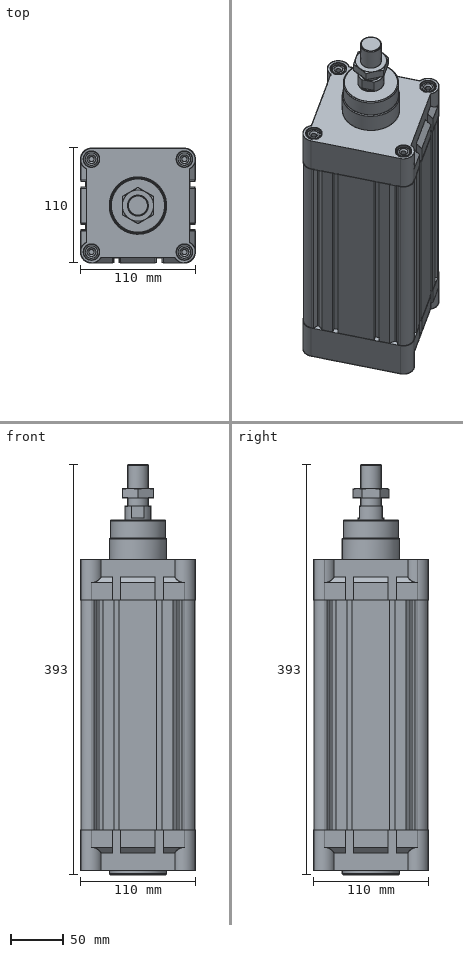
import cadquery as cq
import math


rear_spigot_height = 4.0
body_length = 298.0
cap_length = 39.0
shoulder_above_cap = 51.0
thread_length = 40.0
cap_bottom = rear_spigot_height
tube_bottom = cap_bottom + cap_length
cap_top = cap_bottom + body_length
tube_top = cap_top - cap_length
shoulder_level = cap_top + shoulder_above_cap
rod_top = shoulder_level + thread_length

cap_width = 110.0
half_width = cap_width / 2
post_radius = 10.5
post_offset = half_width - post_radius
recess_depth = 5.5
core_half = half_width - recess_depth
shelf_from_face = 22.2
cap_slot_width = 8.0
slot_offset = 20.5

screw_recess_diameter = 15.0
screw_recess_mouth_diameter = 15.8
screw_recess_depth = 3.0
screw_head_diameter = 12.0
screw_head_below_face = 1.0
socket_mouth_diameter = 8.38
socket_diameter = 4.92
socket_depth = 8.0

tube_inset = 0.4
tube_width = cap_width - 2 * tube_inset
tube_half = tube_width / 2
tube_slot_width = 5.0
tube_slot_depth = 4.6
groove_inner_edge = 33.5
groove_outer_edge = 42.0
groove_depth = 4.0
groove_outer_run = 2.6
groove_floor_inner = groove_inner_edge + groove_depth
groove_floor_outer = groove_outer_edge - groove_outer_run

lower_collar_diameter = 55.0
lower_collar_height = 20.5
upper_collar_diameter = 53.0
collar_height = 38.0
collar_chamfer = 1.0

rod_diameter = 25.0
thread_diameter = 20.0
thread_end_diameter = 18.38
flats_width = 22.0
flats_above_collar = 1.5
flats_bottom = cap_top + collar_height + flats_above_collar
rod_bottom = tube_top

nut_across_flats = 30.0
nut_height = 9.0
nut_chamfer_angle = 20.0
nut_above_shoulder = 8.0
nut_bottom = shoulder_level + nut_above_shoulder


def corner_points(offset):
    return [(x, y) for x in (-offset, offset) for y in (-offset, offset)]


def make_flank_pads():
    """Three raised pads along the -Y flank of the front cap, sloping back at 45 degrees above a shelf."""
    shelf = cap_top - shelf_from_face
    profile = [
        (-core_half, tube_top),
        (-half_width, tube_top),
        (-half_width, shelf),
        (-core_half, shelf + recess_depth),
    ]
    band = cq.Workplane("YZ").polyline(profile).close().extrude(post_offset, both=True)
    slots = (
        cq.Workplane()
        .workplane(offset=tube_top)
        .pushPoints([(x, -half_width) for x in (-slot_offset, slot_offset)])
        .rect(cap_slot_width, 2 * recess_depth)
        .extrude(cap_length)
    )
    return band.cut(slots)


def make_cap():
    """Front end cap: core, round corner posts, pads on three flanks and a plain +Y flank."""
    bottom = cq.Workplane().workplane(offset=tube_top)
    cap = bottom.rect(2 * core_half, 2 * core_half).extrude(cap_length)
    plain_flank = bottom.center(0, half_width / 2).rect(2 * post_offset, half_width).extrude(cap_length)
    cap = cap.union(plain_flank)
    pads = make_flank_pads()
    for angle in (0, 90, -90):
        cap = cap.union(pads.rotate((0, 0, 0), (0, 0, 1), angle))
    posts = bottom.pushPoints(corner_points(post_offset)).circle(post_radius).extrude(cap_length)
    return cap.union(posts)


def make_tube():
    """Square profile tube with two slots and two corner grooves along each side."""
    bottom = cq.Workplane().workplane(offset=tube_bottom)
    length = tube_top - tube_bottom
    tube = bottom.rect(tube_width, tube_width).extrude(length).edges("|Z").fillet(post_radius)
    slots = (
        bottom.pushPoints([(x, -tube_half) for x in (-slot_offset, slot_offset)])
        .rect(tube_slot_width, 2 * tube_slot_depth)
        .extrude(length)
    )
    groove_profile = [
        (groove_inner_edge, -tube_half),
        (groove_floor_inner, -tube_half + groove_depth),
        (groove_floor_outer, -tube_half + groove_depth),
        (groove_outer_edge, -tube_half),
    ]
    groove = bottom.polyline(groove_profile).close().extrude(length)
    cutter = slots.union(groove).union(groove.mirror("YZ"))
    for angle in (0, 90, 180, 270):
        tube = tube.cut(cutter.rotate((0, 0, 0), (0, 0, 1), angle))
    return tube


def screw_recess_cutter():
    """Ring recess around one screw head and the countersunk socket in it, turned about their axis."""
    mouth_radius = screw_recess_mouth_diameter / 2
    recess_radius = screw_recess_diameter / 2
    head_radius = screw_head_diameter / 2
    socket_mouth_radius = socket_mouth_diameter / 2
    socket_radius = socket_diameter / 2
    head_level = -screw_head_below_face
    profile = [
        (0, 0),
        (mouth_radius, 0),
        (recess_radius, recess_radius - mouth_radius),
        (recess_radius, -screw_recess_depth),
        (head_radius, -screw_recess_depth),
        (head_radius, head_level),
        (socket_mouth_radius, head_level),
        (socket_radius, head_level - (socket_mouth_radius - socket_radius)),
        (socket_radius, -socket_depth),
        (0, -socket_depth),
    ]
    return cq.Workplane("XZ").polyline(profile).close().revolve(360, (0, 0, 0), (0, 1, 0))


def cylinder(diameter, bottom, top):
    return cq.Workplane().workplane(offset=bottom).circle(diameter / 2).extrude(top - bottom)


def make_housing():
    front_cap = make_cap()
    middle = (0, 0, (cap_bottom + cap_top) / 2)
    rear_cap = front_cap.mirror("XY", middle)
    lower_collar = cylinder(lower_collar_diameter, cap_top, cap_top + lower_collar_height)
    lower_collar = lower_collar.faces(">Z").edges().chamfer(collar_chamfer)
    upper_collar = cylinder(upper_collar_diameter, cap_top, cap_top + collar_height)
    upper_collar = upper_collar.faces(">Z").edges().chamfer(collar_chamfer)
    rear_spigot = cylinder(lower_collar_diameter, 0, cap_bottom)
    rear_spigot = rear_spigot.faces("<Z").edges().chamfer(collar_chamfer)
    housing = make_tube()
    for piece in (front_cap, rear_cap, lower_collar, upper_collar, rear_spigot):
        housing = housing.union(piece)
    for x, y in corner_points(post_offset):
        housing = housing.cut(screw_recess_cutter().translate((x, y, cap_top)))
    return housing.cut(cylinder(rod_diameter, rod_bottom, cap_top + collar_height))


def make_rod():
    """Piston rod with two wrench flats facing -Y and +Y below a chamfered thread."""
    shank = cylinder(rod_diameter, rod_bottom, shoulder_level)
    flats_height = shoulder_level - flats_bottom
    flat_depth = (rod_diameter - flats_width) / 2
    for side in (-1, 1):
        flat = cq.Workplane().box(rod_diameter, flat_depth, flats_height, centered=(True, True, False))
        shank = shank.cut(flat.translate((0, side * (flats_width + flat_depth) / 2, flats_bottom)))
    thread = cylinder(thread_diameter, shoulder_level, rod_top)
    thread = thread.faces(">Z").edges().chamfer((thread_diameter - thread_end_diameter) / 2)
    return shank.union(thread)


def make_nut():
    """Hexagonal lock nut with corners toward -Y and +Y, its top corners turned to a cone."""
    across_corners = nut_across_flats / math.cos(math.radians(30))
    hexagon = cq.Workplane().polygon(6, across_corners).extrude(nut_height)
    corner_overhang = (across_corners - nut_across_flats) / 2
    corner_drop = corner_overhang * math.tan(math.radians(nut_chamfer_angle))
    turned_blank = cylinder(across_corners, 0, nut_height)
    turned_blank = turned_blank.faces(">Z").edges().chamfer(corner_drop, corner_overhang)
    nut = hexagon.rotate((0, 0, 0), (0, 0, 1), 90).intersect(turned_blank)
    return nut.translate((0, 0, nut_bottom)).cut(cylinder(thread_diameter, nut_bottom, nut_bottom + nut_height))


housing = make_housing()
rod = make_rod()
nut = make_nut()

result = cq.Compound.makeCompound([housing.val(), rod.val(), nut.val()])